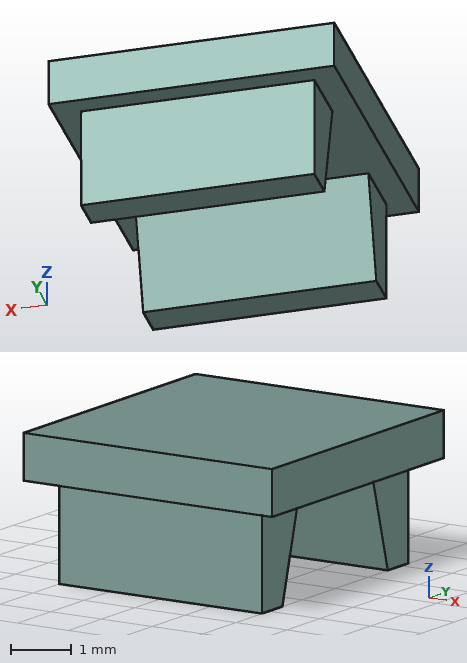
import cadquery as cq

plate_width = 4.9
plate_length = 5.2
plate_thickness = 0.81
total_height = 2.58

leg_width = 4.0
leg_span = 4.43
leg_root = 1.115
leg_tip = 0.625
leg_height = total_height - plate_thickness


def make_plate():
    """Rectangular plate resting on the legs."""
    return (
        cq.Workplane("XY")
        .workplane(offset=leg_height)
        .rect(plate_width, plate_length)
        .extrude(plate_thickness)
    )


def make_leg(side):
    """Leg with an upright outer face and a sloped inner face; side is -1 or 1 along Y."""
    outer = leg_span / 2
    profile = [
        (side * outer, 0),
        (side * outer, leg_height),
        (side * (outer - leg_root), leg_height),
        (side * (outer - leg_tip), 0),
    ]
    return cq.Workplane("YZ").polyline(profile).close().extrude(leg_width / 2, both=True)


result = make_plate()
for side in (-1, 1):
    result = result.union(make_leg(side))